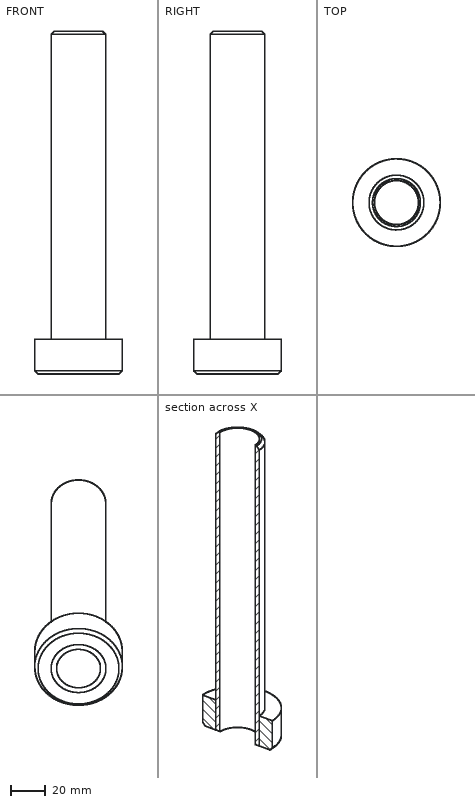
import cadquery as cq

TUBE_LENGTH = 200.0
TUBE_DIAMETER = 32.0
BORE_DIAMETER = 25.5
TUBE_CHAMFER = 2.0

COLLAR_DIAMETER = 51.2
COLLAR_HEIGHT = 20.5
COLLAR_CHAMFER = 2.0


def make_tube():
    """Straight tube, open at both ends, with a chamfered upper end."""
    blank = cq.Workplane("XY").circle(TUBE_DIAMETER / 2).extrude(TUBE_LENGTH)
    chamfered = blank.faces(">Z").chamfer(TUBE_CHAMFER)
    bore = cq.Workplane("XY").circle(BORE_DIAMETER / 2).extrude(TUBE_LENGTH)
    return chamfered.cut(bore)


def make_collar():
    """Ring whose hole matches the tube, with a chamfered lower rim."""
    blank = cq.Workplane("XY").circle(COLLAR_DIAMETER / 2).extrude(COLLAR_HEIGHT)
    chamfered = blank.faces("<Z").chamfer(COLLAR_CHAMFER)
    tube_hole = cq.Workplane("XY").circle(TUBE_DIAMETER / 2).extrude(COLLAR_HEIGHT)
    return chamfered.cut(tube_hole)


tube = make_tube()
collar = make_collar()

result = cq.Compound.makeCompound([tube.val(), collar.val()])